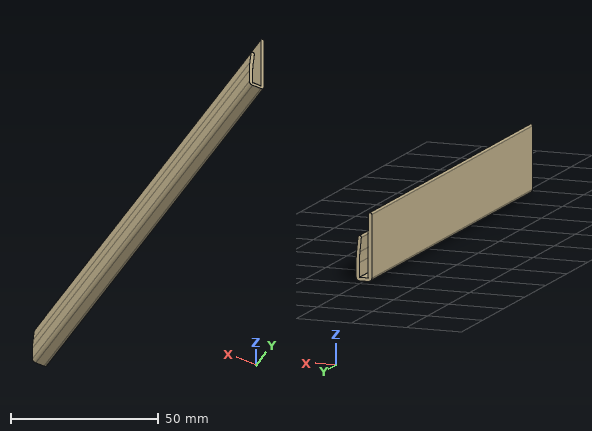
import cadquery as cq
import math

length = 152.4
width = 5.8
height = 24.1
wall = 1.3
corner_radius = 1.3

clip_height = 15.8
bend_start = 6.4
bend_radius = 38.1
lean_angle = math.radians(5.7)

tip_radius = wall / 2
bend_center_x = width - wall - bend_radius
lean_start_z = bend_start + bend_radius * math.sin(lean_angle)
tip_center_z = clip_height - tip_radius
lean_length = (tip_center_z - lean_start_z
               - tip_radius * math.sin(lean_angle)) / math.cos(lean_angle)


def leg_point(offset, angle, distance=0.0):
    """Point offset outward from the short leg's inner face, past the given bend angle."""
    radius = bend_radius + offset
    return (
        bend_center_x + radius * math.cos(angle) - distance * math.sin(angle),
        bend_start + radius * math.sin(angle) + distance * math.cos(angle),
    )


section = (
    cq.Workplane("XZ", origin=(0, length / 2, 0))
    .moveTo(0, corner_radius)
    .lineTo(0, height - tip_radius)
    .threePointArc((tip_radius, height), (wall, height - tip_radius))
    .lineTo(wall, wall)
    .lineTo(width - wall, wall)
    .lineTo(width - wall, bend_start)
    .threePointArc(leg_point(0, lean_angle / 2), leg_point(0, lean_angle))
    .lineTo(*leg_point(0, lean_angle, lean_length))
    .threePointArc(
        leg_point(tip_radius, lean_angle, lean_length + tip_radius),
        leg_point(wall, lean_angle, lean_length),
    )
    .lineTo(*leg_point(wall, lean_angle))
    .threePointArc(leg_point(wall, lean_angle / 2), (width, bend_start))
    .lineTo(width, corner_radius)
    .radiusArc((width - corner_radius, 0), corner_radius)
    .lineTo(corner_radius, 0)
    .radiusArc((0, corner_radius), corner_radius)
    .close()
)

result = section.extrude(length)